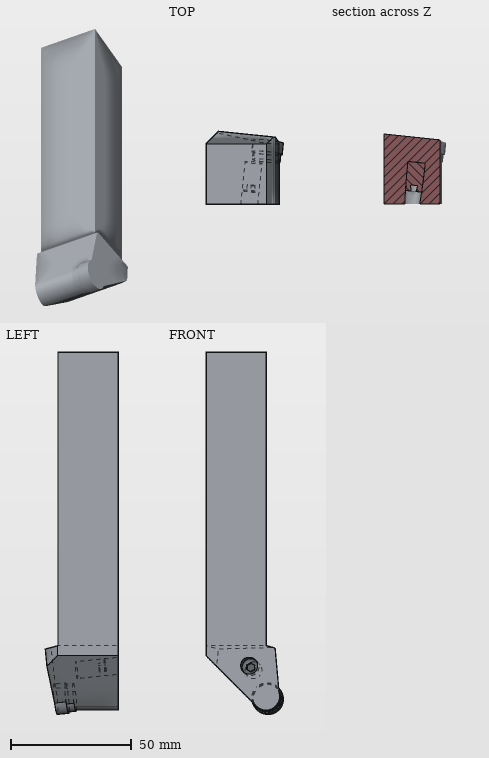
import cadquery as cq
import math

shank_width = 25.0
shank_depth = 25.0
tool_length = 150.0

undercut_start_z = 24.3
shoulder_z = 28.5
shoulder_slope = math.tan(math.radians(15))
shoulder_corner_x = 28.65
shoulder_corner_radius = 1.0
rear_corner_start_y = 25.2
relief_slope = math.tan(math.radians(5))
nose_radius = 5.55

rake_slope = math.tan(math.radians(6))
seat_normal = cq.Vector(rake_slope, 1, -rake_slope).normalized()
rake_face_y0 = 27.97
head_depth = 34.0

insert_diameter = 12.7
insert_thickness = 4.76
insert_tip_x = 32.05
insert_tip_z = -0.05
shim_diameter = 11.6
shim_thickness = 3.18

screw_diameter = 7.0
screw_x = 17.85
screw_z = 20.15
screw_recess = 5.5
screw_length = 12.0
socket_diameter = 3.7
socket_turn = 30
socket_depth = 2.5

large = 200.0


def rake_face_y(x, z):
    """Y of the rake plane above a point of the XZ plane."""
    return rake_face_y0 - rake_slope * x + rake_slope * z


def seat_plane(origin):
    """Plane square to the tilted seat axis."""
    return cq.Plane(origin=origin, xDir=(1, -rake_slope, 0), normal=seat_normal)


def make_shank():
    shank_length = tool_length - undercut_start_z
    base = cq.Workplane("XY", origin=(0, 0, undercut_start_z))
    return base.rect(shank_width, shank_depth, centered=False).extrude(shank_length)


def make_head():
    corner_z = shoulder_z - shoulder_slope * (shoulder_corner_x - shank_width)
    nose_z = (undercut_start_z - shoulder_corner_x - relief_slope * corner_z) / (1 - relief_slope)
    nose_x = undercut_start_z - nose_z
    outline = [
        (0, undercut_start_z),
        (0, shoulder_z),
        (shank_width, shoulder_z),
        (shoulder_corner_x, corner_z),
        (nose_x, nose_z),
    ]
    head = cq.Workplane("XZ").polyline(outline).close().extrude(-head_depth)
    nose = (nose_x, head_depth / 2, nose_z)
    head = head.edges(cq.selectors.NearestToPointSelector(nose)).fillet(nose_radius)
    corner = (shoulder_corner_x, head_depth / 2, corner_z)
    head = head.edges(cq.selectors.NearestToPointSelector(corner)).fillet(shoulder_corner_radius)
    return head.cut(rear_corner()).cut(rear_shoulder()).cut(above_rake_plane())


def rear_corner():
    """Material outside the 45 degree face that rises from the shank's rear left edge."""
    rise = head_depth - rear_corner_start_y
    corner = [(0, rear_corner_start_y), (rise, head_depth), (0, head_depth)]
    return cq.Workplane("XY", origin=(0, 0, -large / 2)).polyline(corner).close().extrude(large)


def rear_shoulder():
    """Material above the sloping shoulder behind the shank."""
    rise = head_depth - shank_depth
    wedge = [
        (shank_depth, shoulder_z),
        (head_depth, shoulder_z),
        (head_depth, shoulder_z - shoulder_slope * rise),
    ]
    return cq.Workplane("YZ", origin=(-large / 2, 0, 0)).polyline(wedge).close().extrude(large)


def above_rake_plane():
    return cq.Workplane(seat_plane((0, rake_face_y0, 0))).rect(large, large).extrude(large)


lean_reach = insert_diameter / 2 * math.sqrt(1 - seat_normal.x ** 2)
insert_x = insert_tip_x - lean_reach
insert_z = insert_tip_z + lean_reach
insert_center = cq.Vector(insert_x, rake_face_y(insert_x, insert_z), insert_z)
shim_center = insert_center - seat_normal * insert_thickness

hole_mouth = cq.Vector(screw_x, 0, screw_z)
screw_end = hole_mouth + seat_normal * screw_recess


def tilted_cylinder(start, diameter, length):
    """Cylinder along the seat axis; a negative length goes away from the rake face."""
    return cq.Workplane(seat_plane(start)).circle(diameter / 2).extrude(length)


def make_insert():
    return tilted_cylinder(insert_center, insert_diameter, -insert_thickness)


def make_shim():
    return tilted_cylinder(shim_center, shim_diameter, -shim_thickness)


def make_screw():
    screw = tilted_cylinder(screw_end, screw_diameter, screw_length)
    socket_face = cq.Workplane(seat_plane(screw_end)).transformed(rotate=(0, 0, socket_turn))
    socket = socket_face.polygon(6, socket_diameter).extrude(socket_depth)
    return screw.cut(socket)


def make_holder():
    holder = make_shank().union(make_head())
    holder = holder.cut(make_insert()).cut(make_shim())
    overrun = 2.0
    hole_start = hole_mouth - seat_normal * overrun
    hole_length = overrun + screw_recess + screw_length
    return holder.cut(tilted_cylinder(hole_start, screw_diameter, hole_length))


holder = make_holder()
insert = make_insert()
shim = make_shim()
screw = make_screw()

result = cq.Compound.makeCompound([holder.val(), insert.val(), shim.val(), screw.val()])